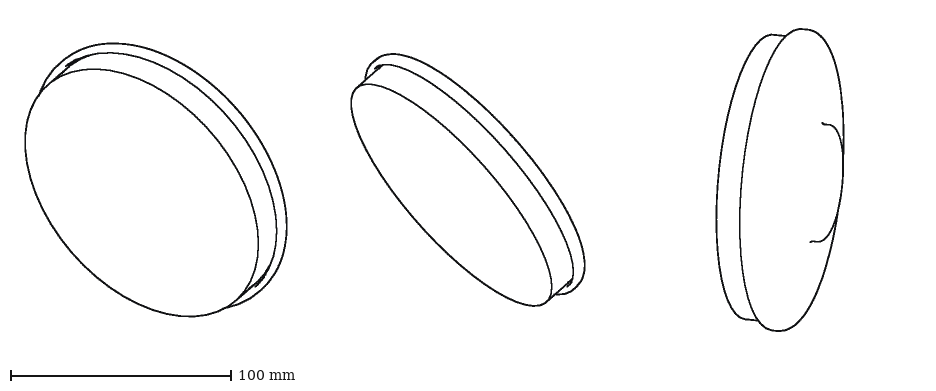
import cadquery as cq
import math


rim_radius = 68.9
plug_radius = 65.0
knob_radius = 26.7

lip_height = 12.0
cone_edge_height = 19.0
total_height = 32.0

cone_angle = 8.0
groove_wall = 1.4

lip_outer_fillet = 1.5
lip_inner_fillet = 1.31
rim_fillet = 3.9
knob_foot_fillet = 3.7
knob_top_fillet = 1.7

lip_crest_radius = rim_radius - lip_outer_fillet
lip_inner_radius = lip_crest_radius - lip_inner_fillet
rim_wall_start = lip_height + lip_outer_fillet
groove_wall_start = lip_height + lip_inner_fillet
groove_wall_end = groove_wall_start + groove_wall
groove_fillet = lip_inner_radius - plug_radius
groove_floor_height = groove_wall_end + groove_fillet

cone_rise = (rim_radius - knob_radius) * math.tan(math.radians(cone_angle))
knob_foot_height = cone_edge_height + cone_rise


def turned_body():
    """Revolve the half section; only the lip and the groove are already rounded."""
    half_section = (
        cq.Workplane("XY")
        .lineTo(plug_radius, 0)
        .lineTo(plug_radius, groove_floor_height)
        .radiusArc((lip_inner_radius, groove_wall_end), groove_fillet)
        .lineTo(lip_inner_radius, groove_wall_start)
        .radiusArc((lip_crest_radius, lip_height), -lip_inner_fillet)
        .radiusArc((rim_radius, rim_wall_start), -lip_outer_fillet)
        .lineTo(rim_radius, cone_edge_height)
        .lineTo(knob_radius, knob_foot_height)
        .lineTo(knob_radius, total_height)
        .lineTo(0, total_height)
        .close()
    )
    return half_section.revolve(360, (0, 0, 0), (0, 1, 0))


def round_circle(body, height, fillet):
    """Fillet the circular edge lying at the given height along Y."""
    reach = 2 * rim_radius
    margin = 0.01
    at_height = cq.selectors.BoxSelector(
        (-reach, height - margin, -reach), (reach, height + margin, reach)
    )
    return body.edges("%CIRCLE").edges(at_height).fillet(fillet)


result = turned_body()
result = round_circle(result, cone_edge_height, rim_fillet)
result = round_circle(result, knob_foot_height, knob_foot_fillet)
result = round_circle(result, total_height, knob_top_fillet)